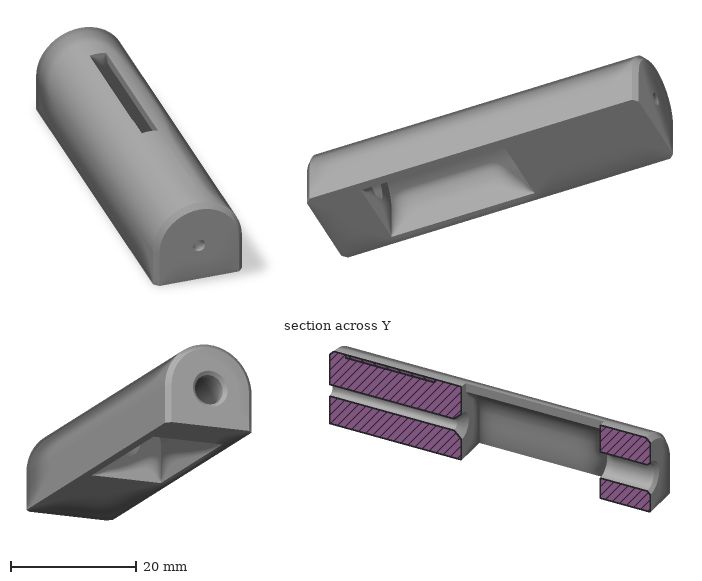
import cadquery as cq

length = 58.0
width = 15.0
height = 13.75
roof_radius = width / 2
bottom_z = roof_radius - height
end_chamfer = 0.8

chamber_start = 9.1
chamber_length = 25.0
chamber_width = 11.95
chamber_end = chamber_start + chamber_length
slot_width = 2.8

inlet_diameter = 4.8
inlet_chamfer = 0.6
outlet_diameter = 2.1
funnel_length = (inlet_diameter - outlet_diameter) / 2

arrow_start = 39.05
shaft_length = 10.0
shaft_width = 3.0
head_length = 6.0
head_width = 2 * shaft_width
inlay_depth = 0.6


def arch_prism(start, prism_length, prism_width):
    """Prism along X with a half-round top about the X axis and a flat bottom."""
    radius = prism_width / 2
    return (
        cq.Workplane("YZ", origin=(start, 0, 0))
        .moveTo(-radius, bottom_z)
        .lineTo(radius, bottom_z)
        .lineTo(radius, 0)
        .threePointArc((0, radius), (-radius, 0))
        .close()
        .extrude(prism_length)
    )


def make_shell():
    """Arched block with chamfered ends; the bottom edges stay sharp."""
    block = arch_prism(0, length, width)
    rim_edges = block.faces("<X or >X").edges("not(<Z)")
    return rim_edges.chamfer(end_chamfer)


def make_slot():
    """Narrow window from the chamber through the roof."""
    return cq.Workplane("XY").box(
        chamber_length, slot_width, roof_radius, centered=(False, True, False)
    ).translate((chamber_start, 0, 0))


def make_passage():
    """Axial passage: chamfered inlet bore, funnel in the chamber's end wall, outlet hole."""
    inlet_radius = inlet_diameter / 2
    outlet_radius = outlet_diameter / 2
    return (
        cq.Workplane("XY")
        .moveTo(0, 0)
        .lineTo(0, inlet_radius + inlet_chamfer)
        .lineTo(inlet_chamfer, inlet_radius)
        .lineTo(chamber_end, inlet_radius)
        .lineTo(chamber_end + funnel_length, outlet_radius)
        .lineTo(length, outlet_radius)
        .lineTo(length, 0)
        .close()
        .revolve(360, (0, 0, 0), (1, 0, 0))
    )


def make_arrow():
    """Arrow of even thickness that follows the curve of the roof."""
    head_start = arrow_start + shaft_length
    tip = head_start + head_length
    prism = (
        cq.Workplane("XY")
        .moveTo(arrow_start, -shaft_width / 2)
        .lineTo(head_start, -shaft_width / 2)
        .lineTo(head_start, -head_width / 2)
        .lineTo(tip, 0)
        .lineTo(head_start, head_width / 2)
        .lineTo(head_start, shaft_width / 2)
        .lineTo(arrow_start, shaft_width / 2)
        .close()
        .extrude(roof_radius)
    )
    core = arch_prism(0, length, width - 2 * inlay_depth)
    return prism.intersect(arch_prism(0, length, width)).cut(core)


def make_housing(arrow):
    """Shell with its chamber (open below), slot, passage and arrow recess."""
    chamber = arch_prism(chamber_start, chamber_length, chamber_width)
    return make_shell().cut(chamber).cut(make_slot()).cut(make_passage()).cut(arrow)


arrow_inlay = make_arrow()
housing = make_housing(arrow_inlay)

result = cq.Compound.makeCompound([housing.val(), arrow_inlay.val()])